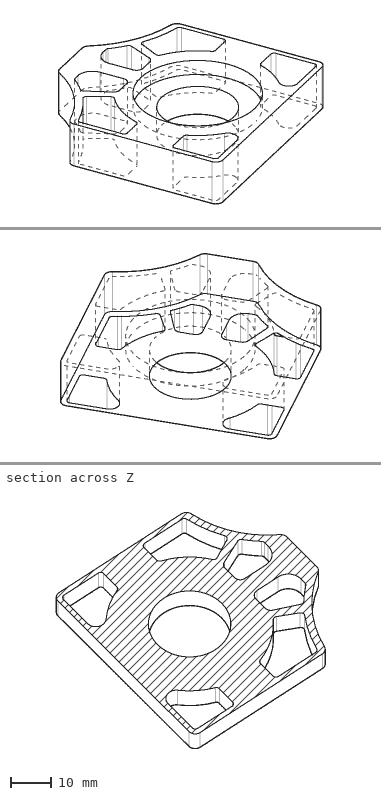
import cadquery as cq
import math

height = 12.0
width = 55.63
length = 56.62
right_x = 21.0
outer_fillet = 2.0

bore_diameter = 20.25
counterbore_diameter = 32.0
counterbore_depth = 4.0

scallop_radius = 30.0
scallop_x = -50.95
scallop_y = 32.8
scallop_wall = 2.1

edge_wall = 1.5
ring_radius = 20.75
pocket_fillet = 0.9
tip_fillet = 2.5

spine_half_width = 6.45
spine_x = 0.4

side_left_x = -30.1
side_right_x = -17.65
side_inner_y = 2.45
side_heel_fillet = 4.0
side_fillet = 1.8

rib_outer_point = (-20.9, 13.2)
rib_outer_angle = -27.5
rib_inner_point = (-21.8, 10.87)
rib_inner_angle = -24.2

half_width = width / 2
left_x = right_x - length
pocket_top_y = half_width - edge_wall
pocket_right_x = right_x - edge_wall
spine_left_x = spine_x - spine_half_width
spine_right_x = spine_x + spine_half_width
rib_outer_slope = math.tan(math.radians(rib_outer_angle))
rib_inner_slope = math.tan(math.radians(rib_inner_angle))
wall_radius = scallop_radius + scallop_wall
scallop_centre = (scallop_x, scallop_y)
origin = (0.0, 0.0)


def circle_y_at(centre, radius, x, side):
    """Y of a circle at a given x; side is +1 for the upper half, -1 for the lower."""
    return centre[1] + side * math.sqrt(radius**2 - (x - centre[0]) ** 2)


def circle_x_at(centre, radius, y, side):
    """X of a circle at a given y; side is +1 for the right half, -1 for the left."""
    return centre[0] + side * math.sqrt(radius**2 - (y - centre[1]) ** 2)


def line_y_at(point, slope, x):
    """Y of a sloping line through a point, at a given x."""
    return point[1] + slope * (x - point[0])


def line_meets_circle(point, slope, centre, radius, side):
    """Meeting point of a line and a circle; side is +1 for the right one, -1 for the left."""
    slant = math.hypot(1, slope)
    direction = (1 / slant, slope / slant)
    offset = (point[0] - centre[0], point[1] - centre[1])
    along = offset[0] * direction[0] + offset[1] * direction[1]
    reach = math.sqrt(along**2 - offset[0] ** 2 - offset[1] ** 2 + radius**2)
    distance = -along + side * reach
    return (point[0] + distance * direction[0], point[1] + distance * direction[1])


def arc_middle(centre, radius, start, end):
    """Point halfway along the shorter arc from start to end."""
    across = (start[0] + end[0]) / 2 - centre[0]
    up = (start[1] + end[1]) / 2 - centre[1]
    stretch = radius / math.hypot(across, up)
    return (centre[0] + across * stretch, centre[1] + up * stretch)


def round_corners(body, corners, radius):
    """Fillet the vertical edges standing at the given corners."""
    for x, y in corners:
        edge = cq.selectors.NearestToPointSelector((x, y, height / 2))
        body = body.edges("|Z").edges(edge).fillet(radius)
    return body


def with_mirror(body):
    """The body together with its reflection across the XZ plane."""
    return body.union(body.mirror("XZ"))


def make_plate():
    """Rectangular plate with a concave scallop across each left corner."""
    scallop_end = (circle_x_at(scallop_centre, scallop_radius, half_width, 1), half_width)
    scallop_start = (left_x, circle_y_at(scallop_centre, scallop_radius, left_x, -1))
    middle = arc_middle(scallop_centre, scallop_radius, scallop_start, scallop_end)
    plate = (
        cq.Workplane("XY")
        .moveTo(right_x, -half_width)
        .lineTo(right_x, half_width)
        .lineTo(*scallop_end)
        .threePointArc(middle, scallop_start)
        .lineTo(scallop_start[0], -scallop_start[1])
        .threePointArc((middle[0], -middle[1]), (scallop_end[0], -scallop_end[1]))
        .close()
        .extrude(height)
    )
    return plate.edges("|Z").fillet(outer_fillet)


def make_right_pocket():
    """Corner pocket between the cross spine, the two straight walls and the bore ring."""
    top_left = (spine_right_x, pocket_top_y)
    top_right = (pocket_right_x, pocket_top_y)
    tip = (pocket_right_x, circle_y_at(origin, ring_radius, pocket_right_x, 1))
    bottom_left = (spine_right_x, circle_y_at(origin, ring_radius, spine_right_x, 1))
    pocket = (
        cq.Workplane("XY")
        .moveTo(*top_left)
        .lineTo(*top_right)
        .lineTo(*tip)
        .threePointArc(arc_middle(origin, ring_radius, tip, bottom_left), bottom_left)
        .close()
        .extrude(height)
    )
    pocket = round_corners(pocket, [tip], tip_fillet)
    return round_corners(pocket, [top_left, top_right, bottom_left], pocket_fillet)


def make_left_pocket():
    """Corner pocket between the cross spine, the scallop wall, the slanted rib and the bore ring."""
    top_right = (spine_left_x, pocket_top_y)
    top_left = (circle_x_at(scallop_centre, wall_radius, pocket_top_y, 1), pocket_top_y)
    rib_right = line_meets_circle(rib_outer_point, rib_outer_slope, origin, ring_radius, -1)
    ring_end = (spine_left_x, circle_y_at(origin, ring_radius, spine_left_x, 1))
    rib_left = line_meets_circle(rib_outer_point, rib_outer_slope, scallop_centre, wall_radius, 1)
    pocket = (
        cq.Workplane("XY")
        .moveTo(*top_right)
        .lineTo(*top_left)
        .threePointArc(arc_middle(scallop_centre, wall_radius, top_left, rib_left), rib_left)
        .lineTo(*rib_right)
        .threePointArc(arc_middle(origin, ring_radius, rib_right, ring_end), ring_end)
        .close()
        .extrude(height)
    )
    corners = [top_right, top_left, rib_left, rib_right, ring_end]
    return round_corners(pocket, corners, pocket_fillet)


def make_side_pocket():
    """Five-cornered pocket between the hub's left arm, the scallop wall and the slanted rib."""
    heel = (side_left_x, side_inner_y)
    inner_right = (side_right_x, side_inner_y)
    rib_right = (side_right_x, line_y_at(rib_inner_point, rib_inner_slope, side_right_x))
    rib_left = line_meets_circle(rib_inner_point, rib_inner_slope, scallop_centre, wall_radius, 1)
    wall_end = (side_left_x, circle_y_at(scallop_centre, wall_radius, side_left_x, -1))
    pocket = (
        cq.Workplane("XY")
        .moveTo(*heel)
        .lineTo(*inner_right)
        .lineTo(*rib_right)
        .lineTo(*rib_left)
        .threePointArc(arc_middle(scallop_centre, wall_radius, rib_left, wall_end), wall_end)
        .close()
        .extrude(height)
    )
    pocket = round_corners(pocket, [heel], side_heel_fillet)
    pocket = round_corners(pocket, [inner_right, rib_right], side_fillet)
    return round_corners(pocket, [rib_left, wall_end], pocket_fillet)


def cut_stepped_bore(body):
    """Through bore with a wider counterbore sunk from the top face."""
    return (
        body.faces(">Z")
        .workplane(origin=(0, 0, height))
        .cboreHole(bore_diameter, counterbore_diameter, counterbore_depth)
    )


result = cut_stepped_bore(make_plate())
for make_pocket in (make_right_pocket, make_left_pocket, make_side_pocket):
    result = result.cut(with_mirror(make_pocket()))